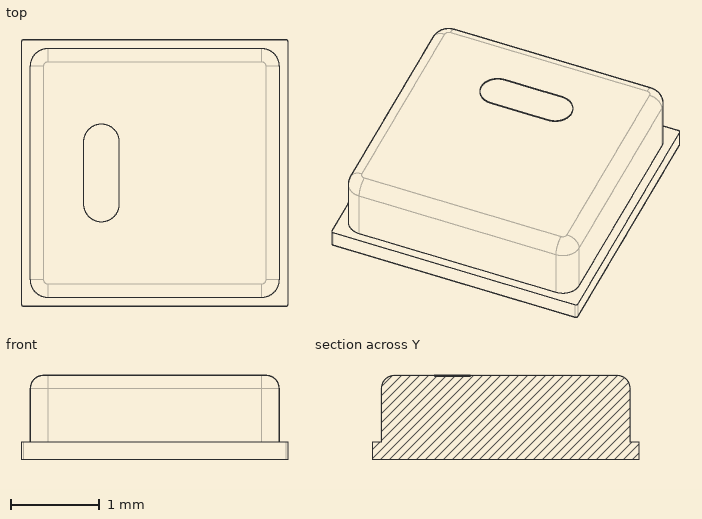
import cadquery as cq

base_side = 3.0
base_thickness = 0.2
base_corner_radius = 0.025

ledge_width = 0.1
lid_side = base_side - 2 * ledge_width
total_height = 0.95
lid_height = total_height - base_thickness
lid_corner_radius = 0.2
lid_top_radius = 0.15

mark_length = 1.1
mark_width = 0.4
mark_depth = 0.01
mark_x = -0.6


def make_base():
    """Square substrate sitting on Z = 0 with slightly rounded corners."""
    base = cq.Workplane("XY").box(base_side, base_side, base_thickness, centered=(True, True, False))
    return base.edges("|Z").fillet(base_corner_radius)


def make_lid():
    """Square lid with rounded corners and a rounded top edge."""
    lid = (
        cq.Workplane("XY")
        .workplane(offset=base_thickness)
        .box(lid_side, lid_side, lid_height, centered=(True, True, False))
    )
    lid = lid.edges("|Z").fillet(lid_corner_radius)
    return lid.faces(">Z").edges().fillet(lid_top_radius)


def make_mark():
    """Cutter for the round-ended slot, lengthwise along Y."""
    return (
        cq.Workplane("XY")
        .workplane(offset=total_height - mark_depth)
        .center(mark_x, 0)
        .slot2D(mark_length, mark_width, 90)
        .extrude(mark_depth)
    )


result = make_base().union(make_lid()).cut(make_mark())